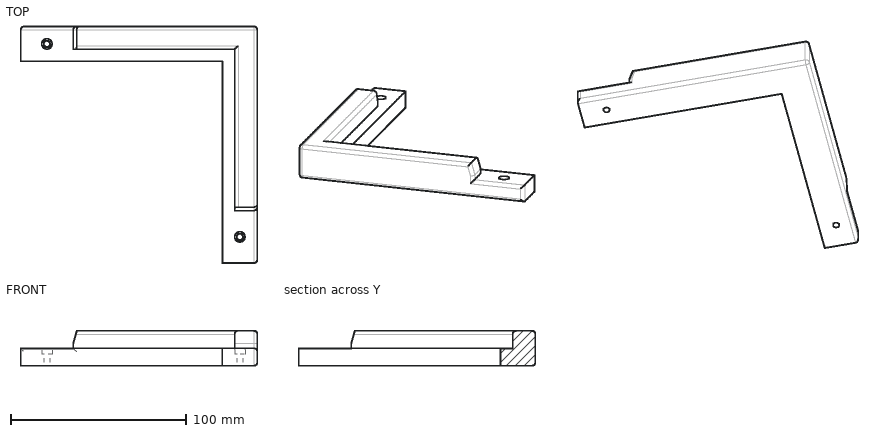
import cadquery as cq

leg_length = 135.0
leg_width = 20.0
base_height = 10.0

total_height = 20.0
inner_ledge = 7.0
ridge_width = leg_width - inner_ledge
ridge_start = 30.0
ridge_straight_height = 3.0
ridge_end_lean = 2.0
ridge_root = base_height / 2

edge_radius = 2.0

hole_diameter = 3.5
counterbore_diameter = 5.9
counterbore_depth = 3.0
hole_from_end = 15.0
hole_from_outer_side = leg_width / 2

tolerance = 0.01


def angle_outline(start, width):
    """L outline along the two outer sides, from the free ends at `start`."""
    inner = leg_length - width
    return [
        (start, leg_length),
        (leg_length, leg_length),
        (leg_length, start),
        (inner, start),
        (inner, inner),
        (start, inner),
    ]


def angle_prism(start, width, bottom, top):
    outline = angle_outline(start, width)
    return cq.Workplane("XY").workplane(offset=bottom).polyline(outline).close().extrude(top - bottom)


def touching_outer_side(edge):
    """True when the whole edge lies in one of the two outer side planes."""
    box = edge.BoundingBox()
    return max(box.xmin, box.ymin) > leg_length - tolerance


def on_inner_crest(edge):
    """True for the two ridge top edges that face the inside of the L."""
    inner = leg_length - ridge_width
    box = edge.BoundingBox()
    on_top = box.zmin > total_height - tolerance
    along_y = max(abs(box.xmin - inner), abs(box.xmax - inner)) < tolerance
    along_x = max(abs(box.ymin - inner), abs(box.ymax - inner)) < tolerance
    return on_top and (along_x or along_y)


def round_edges(body, is_rounded):
    """Fillet every edge of the body for which `is_rounded` holds."""
    edges = [edge for edge in body.edges().vals() if is_rounded(edge)]
    return body.newObject(edges).fillet(edge_radius)


def make_base():
    """L plate with all edges of its two outer sides rounded."""
    base = angle_prism(0, leg_width, 0, base_height)
    return round_edges(base, touching_outer_side)


def ridge_end_cutter():
    """Wedge that leans the ridge end on the X leg back above its straight foot."""
    lean_bottom = base_height + ridge_straight_height
    return (
        cq.Workplane("XZ", origin=(0, leg_length, 0))
        .moveTo(ridge_start, lean_bottom)
        .lineTo(ridge_start + ridge_end_lean, total_height)
        .lineTo(ridge_start, total_height)
        .close()
        .extrude(ridge_width)
    )


def mirror_legs(body):
    """Swap the X leg and the Y leg."""
    return body.mirror("XY").rotate((0, 0, 0), (1, 1, 0), 180)


def make_ridge():
    """Ridge with leaning ends, rounded on its outer sides and inner crest."""
    ridge = angle_prism(ridge_start, ridge_width, ridge_root, total_height)
    cutter = ridge_end_cutter()
    ridge = ridge.cut(cutter).cut(mirror_legs(cutter))

    def is_rounded(edge):
        on_root = edge.BoundingBox().zmax < ridge_root + tolerance
        return on_inner_crest(edge) or (touching_outer_side(edge) and not on_root)

    return round_edges(ridge, is_rounded)


def hole_cutter(x, y):
    """Through hole with a flat counterbore in the base top."""
    base_top = cq.Workplane("XY", origin=(x, y, base_height))
    through = base_top.circle(hole_diameter / 2).extrude(-base_height)
    counterbore = base_top.circle(counterbore_diameter / 2).extrude(-counterbore_depth)
    return through.union(counterbore)


def drill_holes(body):
    near_side = leg_length - hole_from_outer_side
    for x, y in [(hole_from_end, near_side), (near_side, hole_from_end)]:
        body = body.cut(hole_cutter(x, y))
    return body


result = make_base().union(make_ridge())
result = drill_holes(result)